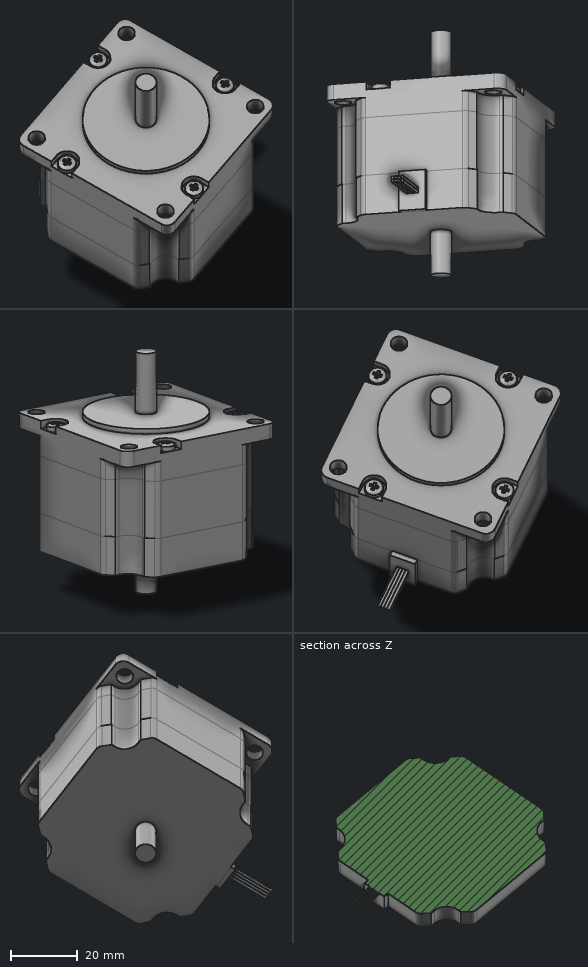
import cadquery as cq
import math


body_width = 56.4
half_width = body_width / 2
flange_thickness = 4.9
body_length = 41.0
front_cap_length = 11.0
rear_cap_length = 12.15
lamination_length = body_length - front_cap_length - rear_cap_length

flange_corner_radius = 3.0
mount_hole_spacing = 47.14
mount_hole_diameter = 5.0
pilot_diameter = 38.1
pilot_height = 1.6

shaft_diameter = 6.35
front_shaft_reach = 20.6
rear_shaft_reach = 13.5

relief_start = 13.0
relief_step = 9.2
relief_arc_radius = 5.1
relief_edge_radius = 2.4
front_relief_angle = 45.0
rear_relief_angle = 47.0

screw_offset_along_side = 11.2
screw_offset_from_axis = 25.4
pocket_width = 7.5
pocket_depth = 2.4
screw_head_diameter = 5.5
screw_rim_height = 1.5
screw_dome_height = 0.8
cross_length = 3.0
cross_arm_width = 0.85
cross_depth = 1.8

outlet_width = 8.2
outlet_reach = 1.7
wire_length = 15.0
wire_diameter = 1.0
wire_overlap = 0.01
wire_columns = 4
wire_rows = 2

quarter_turns = [0, 90, 180, 270]


def turned(shape, degrees):
    """The shape turned about the Z axis."""
    return shape.rotate((0, 0, 0), (0, 0, 1), degrees)


def relief_cutter(relief_angle, top_z, length):
    """Corner relief at -X, -Y: sloped edges, steps and a quarter-round channel."""
    angle = math.radians(relief_angle)

    def edge_round(turn):
        u = relief_start - relief_edge_radius * math.sin(turn)
        v = relief_edge_radius * (1 - math.cos(turn))
        return u, v

    round_mid = edge_round(angle / 2)
    round_end = edge_round(angle)
    slope_end = (relief_step, round_end[1] + (round_end[0] - relief_step) * math.tan(angle))
    arc_center = relief_step - relief_arc_radius
    arc_start = (relief_step, arc_center)
    arc_mid_offset = arc_center + relief_arc_radius * math.sqrt(0.5)

    def mirrored(point):
        return point[1], point[0]

    return (
        cq.Workplane("XY", origin=(-half_width, -half_width, top_z - length))
        .moveTo(0, 0)
        .lineTo(relief_start, 0)
        .threePointArc(round_mid, round_end)
        .lineTo(*slope_end)
        .lineTo(*arc_start)
        .threePointArc((arc_mid_offset, arc_mid_offset), mirrored(arc_start))
        .lineTo(*mirrored(slope_end))
        .lineTo(*mirrored(round_end))
        .threePointArc(mirrored(round_mid), (0, relief_start))
        .close()
        .extrude(length)
    )


def square_block(top_z, length):
    return cq.Workplane("XY", origin=(0, 0, top_z - length)).rect(body_width, body_width).extrude(length)


def relieved_block(top_z, length, relief_angle):
    """Square block with all four upright corners relieved."""
    block = square_block(top_z, length)
    cutter = relief_cutter(relief_angle, top_z, length)
    for turn in quarter_turns:
        block = block.cut(turned(cutter, turn))
    return block


def make_flange():
    """Rounded mounting plate with four through holes."""
    flange = square_block(0, flange_thickness).edges("|Z").fillet(flange_corner_radius)
    return (
        flange.faces(">Z").workplane()
        .rect(mount_hole_spacing, mount_hole_spacing, forConstruction=True)
        .vertices()
        .hole(mount_hole_diameter)
    )


def make_body():
    front_cap = relieved_block(-flange_thickness, front_cap_length - flange_thickness, front_relief_angle)
    laminations = relieved_block(-front_cap_length, lamination_length, front_relief_angle)
    rear_cap = relieved_block(rear_cap_length - body_length, rear_cap_length, rear_relief_angle)
    front_cap = make_flange().union(front_cap)
    return front_cap.union(laminations, clean=False).union(rear_cap, clean=False)


def make_screw_pocket():
    """Pocket open to the +Y side, with a round inner end."""
    floor = cq.Workplane("XY", origin=(screw_offset_along_side, screw_offset_from_axis, -pocket_depth))
    round_end = floor.circle(pocket_width / 2).extrude(pocket_depth)
    open_end = floor.rect(pocket_width, pocket_width).extrude(pocket_depth)
    open_end = open_end.translate((0, pocket_width / 2, 0))
    return round_end.union(open_end)


def make_cross_arm():
    """One bar of the cross recess, a V-groove deepest at its middle, below the XY plane."""
    return (
        cq.Workplane("XZ")
        .moveTo(-cross_length / 2, 0)
        .lineTo(cross_length / 2, 0)
        .lineTo(0, -cross_depth)
        .close()
        .extrude(cross_arm_width / 2, both=True)
    )


def make_screw_head():
    """Domed head with a cross recess, standing on the XY plane."""
    head_radius = screw_head_diameter / 2
    head_height = screw_rim_height + screw_dome_height
    sphere_radius = (head_radius**2 + screw_dome_height**2) / (2 * screw_dome_height)
    sphere_center_z = head_height - sphere_radius
    dome_mid_angle = math.asin(head_radius / sphere_radius) / 2
    dome_mid = (
        sphere_radius * math.sin(dome_mid_angle),
        sphere_center_z + sphere_radius * math.cos(dome_mid_angle),
    )
    head = (
        cq.Workplane("XZ")
        .lineTo(head_radius, 0)
        .lineTo(head_radius, screw_rim_height)
        .threePointArc(dome_mid, (0, head_height))
        .close()
        .revolve(360, (0, 0, 0), (0, 1, 0))
    )
    arm = make_cross_arm().translate((0, 0, head_height))
    return head.cut(arm).cut(turned(arm, 90))


def add_screws(motor):
    pocket = make_screw_pocket()
    screw_place = (screw_offset_along_side, screw_offset_from_axis, -pocket_depth)
    head = make_screw_head().translate(screw_place)
    for turn in quarter_turns:
        motor = motor.cut(turned(pocket, turn), clean=False)
        motor = motor.union(turned(head, turn), clean=False)
    return motor


def make_shaft():
    length = front_shaft_reach + body_length + rear_shaft_reach
    start = cq.Workplane("XY", origin=(0, 0, -body_length - rear_shaft_reach))
    return start.circle(shaft_diameter / 2).extrude(length)


def make_pilot():
    return cq.Workplane("XY").circle(pilot_diameter / 2).extrude(pilot_height)


def make_outlet():
    outlet_center = (0, half_width + outlet_reach / 2, rear_cap_length / 2 - body_length)
    return cq.Workplane("XY").box(outlet_width, outlet_reach, rear_cap_length).translate(outlet_center)


def make_wires():
    """Flat bundle of wires that run out along +Y, each slightly merged with its neighbours."""
    pitch = wire_diameter - wire_overlap
    bundle_origin = (0, half_width + outlet_reach + wire_length, rear_cap_length / 2 - body_length)
    first_x = -pitch * (wire_columns - 1) / 2
    first_z = -pitch * (wire_rows - 1) / 2
    bundle = cq.Workplane("XZ", origin=bundle_origin)
    wires = cq.Workplane("XZ")
    for column in range(wire_columns):
        for row in range(wire_rows):
            place = bundle.center(first_x + column * pitch, first_z + row * pitch)
            wires = wires.union(place.circle(wire_diameter / 2).extrude(wire_length))
    return wires


motor = add_screws(make_body())
for added in [make_pilot(), make_shaft(), make_outlet(), make_wires()]:
    motor = motor.union(added, clean=False)

result = motor